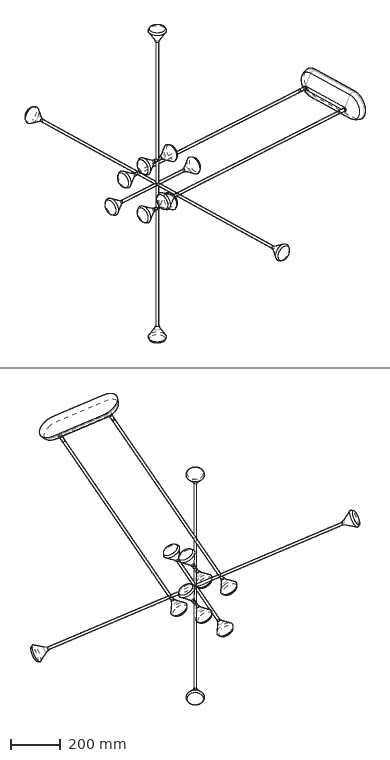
import cadquery as cq

ROD_RADIUS = 6.0
ARM_REACH = 735.255
CENTER_FRONT_REACH = 262.0
CENTER_BACK_REACH = 211.0
SHORT_REACH = 82.0
BRANCH_OFFSET = 114.0

SHADE_RADIUS = 37.5
FACE_RADIUS = 32.5
RIM_LENGTH = 9.5
SHADE_LENGTH = 49.5
SHADE_NECK_RADIUS = 12.0
COLLAR_LENGTH = 13.0
COLLAR_RADIUS = 7.0

TOTAL_DEPTH = 1253.07
CANOPY_BACK = TOTAL_DEPTH - CENTER_FRONT_REACH
CANOPY_RADIUS = 65.0
CANOPY_EDGE = 7.0
CANOPY_EDGE_RADIUS = 63.5
CANOPY_DEPTH = 54.0
RIDGE_RADIUS = 8.5
SHOULDER_RADIUS = 56.0
SHOULDER_DEPTH = 25.0
NOZZLE_RADIUS = 7.5
NOZZLE_DEPTH = 60.0
SOCKET_RADIUS = 6.5
SOCKET_DEPTH = 86.0

ORIGIN = (0, 0, 0)


def rod(start, direction, length, radius=ROD_RADIUS):
    return cq.Workplane(obj=cq.Solid.makeCylinder(radius, length, cq.Vector(*start), cq.Vector(*direction)))


def lamp(base, direction, reach):
    """Lamp whose face is at the given reach from base, looking along direction."""
    shade_start = reach - SHADE_LENGTH
    profile = (
        cq.Workplane("XZ")
        .moveTo(0, shade_start - COLLAR_LENGTH)
        .lineTo(COLLAR_RADIUS, shade_start - COLLAR_LENGTH)
        .lineTo(SHADE_NECK_RADIUS, shade_start)
        .lineTo(SHADE_RADIUS, reach - RIM_LENGTH)
        .lineTo(FACE_RADIUS, reach)
        .lineTo(0, reach)
        .close()
    )
    body = profile.revolve(360, (0, 0, 0), (0, 1, 0)).val()
    return cq.Workplane(obj=body.moved(cq.Plane(base, normal=direction).location))


def lit_arm(base, direction, reach):
    """Rod from base with a lamp at its end."""
    return rod(base, direction, reach - RIM_LENGTH).union(lamp(base, direction, reach))


def canopy_half_profile():
    """Canopy section in the YZ plane, on the +Z side of the rod axis."""
    ridge_front = CANOPY_BACK - CANOPY_DEPTH
    return (
        cq.Workplane("YZ")
        .moveTo(CANOPY_BACK, 0)
        .lineTo(CANOPY_BACK, CANOPY_RADIUS)
        .lineTo(CANOPY_BACK - CANOPY_EDGE, CANOPY_EDGE_RADIUS)
        .tangentArcPoint((CANOPY_BACK - SHOULDER_DEPTH, SHOULDER_RADIUS), relative=False)
        .lineTo(ridge_front, RIDGE_RADIUS)
        .lineTo(ridge_front, 0)
        .close()
    )


def canopy():
    """Obround mount: a straight body between the rods and a turned end around each rod."""
    end = canopy_half_profile().revolve(360, (0, 0, 0), (1, 0, 0))
    upper = canopy_half_profile().extrude(BRANCH_OFFSET, both=True)
    body = upper.union(upper.mirror("XY"))
    for x in (-BRANCH_OFFSET, BRANCH_OFFSET):
        body = body.union(end.translate((x, 0, 0)))
        for depth, radius in ((NOZZLE_DEPTH, NOZZLE_RADIUS), (SOCKET_DEPTH, SOCKET_RADIUS)):
            body = body.union(rod((x, CANOPY_BACK - depth, 0), (0, 1, 0), depth, radius))
    return body


result = canopy()

for side in (-1, 1):
    result = result.union(lit_arm(ORIGIN, (side, 0, 0), ARM_REACH))
    result = result.union(lit_arm(ORIGIN, (0, 0, side), ARM_REACH))

    crossing = (side * BRANCH_OFFSET, 0, 0)
    result = result.union(lit_arm(crossing, (0, -1, 0), SHORT_REACH))
    result = result.union(rod(crossing, (0, 1, 0), CANOPY_BACK - CANOPY_EDGE))

    crossing = (0, 0, side * BRANCH_OFFSET)
    for facing in (-1, 1):
        result = result.union(lit_arm(crossing, (0, facing, 0), SHORT_REACH))

result = result.union(lit_arm(ORIGIN, (0, -1, 0), CENTER_FRONT_REACH))
result = result.union(lit_arm(ORIGIN, (0, 1, 0), CENTER_BACK_REACH))